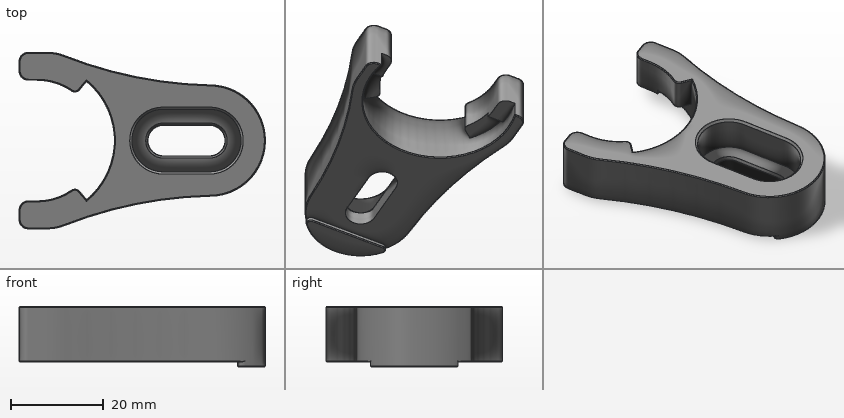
import cadquery as cq
import math

LENGTH = 53.0
WIDTH = 38.0
BODY_HEIGHT = 12.0
EDGE_CHAMFER = 0.2

END_RADIUS = 12.0
END_X = LENGTH - END_RADIUS
FLANK_RADIUS = 91.15
SHOULDER_X = 8.0
SHOULDER_RADIUS = 9.8

BORE_X = 3.9
BORE_RADIUS = 16.6
GRIP_RADIUS = 13.0
GRIP_END_ANGLE = 50.3
JAW_TIP_FILLET = 2.0
GRIP_END_FILLET = 1.25

TIP_UNDERCUT_HEIGHT = 3.65
GRIP_UNDERCUT_HEIGHT = 4.7
GRIP_UNDERCUT_X = 6.1

SLOT_TRAVEL = 10.0
SLOT_X = END_X - SLOT_TRAVEL / 2
SLOT_RADIUS = 3.3
POCKET_RADIUS = 6.75
POCKET_DEPTH = 8.0
SLOT_CHAMFER = 0.5

FOOT_X = 47.0
FOOT_DROP = 1.0
FOOT_FILLET = 1.0


def polar(center_x, center_y, radius, angle):
    """Point on a circle, with the angle in degrees from +X."""
    a = math.radians(angle)
    return (center_x + radius * math.cos(a), center_y + radius * math.sin(a))


def round_corners(body, corners, radius):
    """Round the vertical edges nearest the given (x, y) points and their mirrors across Y = 0."""
    for x, y in corners:
        for side in (1, -1):
            nearest = cq.selectors.NearestToPointSelector((x, side * y, BODY_HEIGHT / 2))
            body = body.edges("|Z").edges(nearest).fillet(radius)
    return body


def make_blank():
    """Body with a plain U-shaped opening of the grip radius and a chamfered underside."""
    shoulder = (SHOULDER_X, WIDTH / 2)

    blank = (
        cq.Workplane("XY")
        .moveTo(LENGTH, 0)
        .threePointArc(polar(END_X, 0, END_RADIUS, 45), (END_X, END_RADIUS))
        .radiusArc(shoulder, FLANK_RADIUS)
        .lineTo(0, WIDTH / 2)
        .lineTo(0, GRIP_RADIUS)
        .lineTo(BORE_X, GRIP_RADIUS)
        .threePointArc(polar(BORE_X, 0, GRIP_RADIUS, 45), (BORE_X + GRIP_RADIUS, 0))
        .mirrorX()
        .extrude(BODY_HEIGHT)
    )
    blank = round_corners(blank, [shoulder], SHOULDER_RADIUS)
    blank = round_corners(blank, [(0, WIDTH / 2), (0, GRIP_RADIUS)], JAW_TIP_FILLET)
    return blank.faces("<Z").edges().chamfer(EDGE_CHAMFER)


def make_grip_lugs():
    """Space where the jaws stay at the grip radius: left of the radial grip ends, above the undercut."""
    reach = WIDTH
    upper_end = polar(BORE_X, 0, reach, GRIP_END_ANGLE)
    lower_end = polar(BORE_X, 0, reach, -GRIP_END_ANGLE)
    left_of_grip_ends = (
        cq.Workplane("XY", origin=(0, 0, TIP_UNDERCUT_HEIGHT))
        .polyline([(BORE_X, 0), upper_end, (-reach, upper_end[1]), (-reach, lower_end[1]), lower_end])
        .close()
        .extrude(BODY_HEIGHT)
    )
    raised_step = (
        cq.Workplane("XY")
        .box(LENGTH, WIDTH, GRIP_UNDERCUT_HEIGHT, centered=(False, True, False))
        .translate((GRIP_UNDERCUT_X, 0, 0))
    )
    return left_of_grip_ends.cut(raised_step)


def make_bore():
    """Bore with a chamfered lower mouth, leaving the grip lugs of the jaws in place."""
    bore = cq.Workplane("XY").center(BORE_X, 0).circle(BORE_RADIUS).extrude(BODY_HEIGHT)
    mouth = (
        cq.Workplane("XY")
        .center(BORE_X, 0)
        .circle(BORE_RADIUS + EDGE_CHAMFER)
        .extrude(EDGE_CHAMFER, taper=45)
    )
    return bore.union(mouth).cut(make_grip_lugs())


def make_slot(radius, bottom, top):
    """Rounded slot cutter along X with a chamfered mouth at its top."""
    def outline(r):
        return (SLOT_TRAVEL + 2 * r, 2 * r)

    straight = (
        cq.Workplane("XY", origin=(SLOT_X, 0, bottom))
        .slot2D(*outline(radius))
        .extrude(top - bottom)
    )
    mouth = (
        cq.Workplane("XY", origin=(SLOT_X, 0, top))
        .slot2D(*outline(radius + SLOT_CHAMFER))
        .extrude(-SLOT_CHAMFER, taper=45)
    )
    return straight.union(mouth)


def make_foot():
    """Segment of the rounded end, reaching up into the body past its bottom chamfer."""
    disc = (
        cq.Workplane("XY", origin=(END_X, 0, -FOOT_DROP))
        .circle(END_RADIUS)
        .extrude(FOOT_DROP + 2 * EDGE_CHAMFER)
    )
    keep = cq.Workplane("XY").box(LENGTH, WIDTH, BODY_HEIGHT, centered=(False, True, True))
    foot = disc.intersect(keep.translate((FOOT_X, 0, 0)))
    foot = foot.faces("<X").edges("|Z").fillet(FOOT_FILLET)
    return foot.faces("<Z").edges().chamfer(EDGE_CHAMFER)


body = make_blank().cut(make_bore())
body = round_corners(body, [polar(BORE_X, 0, GRIP_RADIUS, GRIP_END_ANGLE)], GRIP_END_FILLET)
body = body.faces(">Z").edges().chamfer(EDGE_CHAMFER)
body = body.union(make_foot())

pocket_floor = BODY_HEIGHT - POCKET_DEPTH
body = body.cut(make_slot(POCKET_RADIUS, pocket_floor, BODY_HEIGHT))
result = body.cut(make_slot(SLOT_RADIUS, 0, pocket_floor))